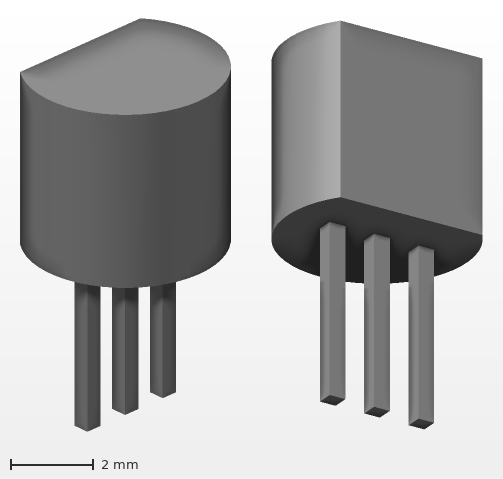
import cadquery as cq

total_height = 9.3
body_height = 4.7
body_diameter = 5.1
body_depth = 4.1
lead_width = 0.45
lead_pitch = 1.265
lead_count = 3

body_radius = body_diameter / 2
flat_x = body_radius - body_depth
flat_half_width = (body_radius**2 - flat_x**2) ** 0.5
lead_length = total_height - body_height


def make_body():
    """Round body with a flat face on its -X side, standing on Z = 0."""
    return (
        cq.Workplane("XY")
        .moveTo(flat_x, -flat_half_width)
        .threePointArc((body_radius, 0), (flat_x, flat_half_width))
        .close()
        .extrude(body_height)
    )


def make_leads():
    """Row of square leads along Y, hanging below the body on its axis."""
    return (
        cq.Workplane("XY")
        .rarray(lead_pitch, lead_pitch, 1, lead_count)
        .rect(lead_width, lead_width)
        .extrude(-lead_length)
    )


result = make_body().union(make_leads())